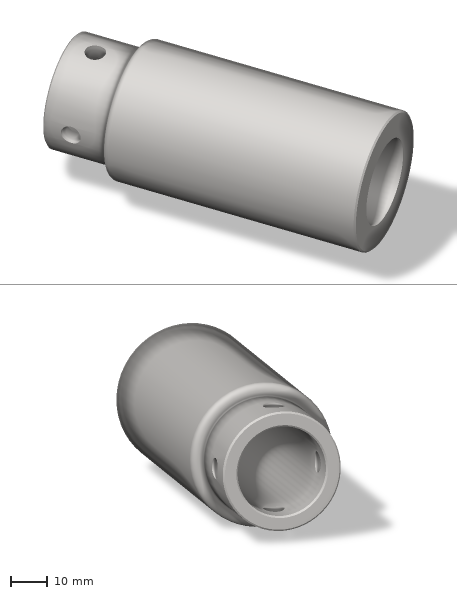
import cadquery as cq

total_length = 96.0
body_diameter = 41.0
neck_diameter = 34.0
bore_diameter = 25.4
neck_length = 19.4

shoulder_radius = 2.0
neck_root_radius = 0.5
neck_end_chamfer = 0.5
body_end_chamfer = 0.5
bore_mouth_chamfer = 0.5

hole_diameter = 6.0
hole_position = 8.5
hole_count = 4


def cylinder_along_x(diameter, start, length):
    return cq.Workplane("YZ").workplane(offset=start).circle(diameter / 2).extrude(length)


def make_neck():
    neck = cylinder_along_x(neck_diameter, 0, neck_length)
    return neck.faces("<X").chamfer(neck_end_chamfer)


def make_body():
    body = cylinder_along_x(body_diameter, neck_length, total_length - neck_length)
    body = body.faces("<X").edges().fillet(shoulder_radius)
    return body.faces(">X").edges().chamfer(body_end_chamfer)


def round_neck_root(sleeve):
    """Fillet the inside corner where the neck meets the shoulder."""
    corner = cq.selectors.BoxSelector(
        (neck_length - neck_root_radius, -neck_diameter, -neck_diameter),
        (neck_length + neck_root_radius, neck_diameter, neck_diameter),
    )
    root_edge = sleeve.edges("%CIRCLE").edges(corner).edges(cq.selectors.RadiusNthSelector(0))
    return root_edge.fillet(neck_root_radius)


def cut_bore(sleeve):
    sleeve = sleeve.cut(cylinder_along_x(bore_diameter, 0, total_length))
    mouth_edge = sleeve.faces("<X").edges(cq.selectors.RadiusNthSelector(0))
    return mouth_edge.chamfer(bore_mouth_chamfer)


def cut_radial_holes(sleeve):
    """Drill evenly spaced holes through the neck wall, starting from +Z."""
    drill = cq.Workplane("XY").center(hole_position, 0).circle(hole_diameter / 2).extrude(neck_diameter)
    for index in range(hole_count):
        angle = index * 360 / hole_count
        sleeve = sleeve.cut(drill.rotate((0, 0, 0), (1, 0, 0), angle))
    return sleeve


sleeve = round_neck_root(make_neck().union(make_body()))
result = cut_radial_holes(cut_bore(sleeve))